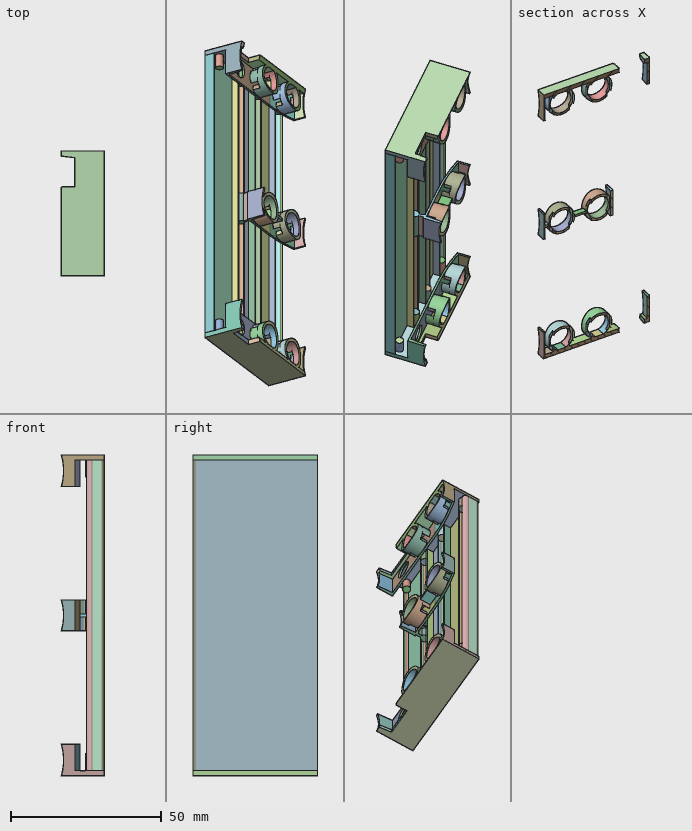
import cadquery as cq
import math

depth = 14.3
width = 41.4
length = 106.5
plus_y = width / 2
minus_y = -width / 2

plate_thickness = 1.7
cap_height = 10.5
bracket_height = 10.2
bracket_plus_y = 6.4
wall_back = 6.3
wall_thickness = 0.7
bend_start_y = -7.0
wall_corner_x = 4.6
flange_thickness = 0.6
arm_tip_thickness = 0.7
arm_root_thickness = 1.3
saddle_depth = 0.7

notch_depth = 4.5
notch_low_y = 8.8
notch_high_y = 19.0
notch_slant = 0.5
notch_chamfer = 0.3

socket_outer_d = 10.2
socket_inner_d = 8.1
socket_ys = (1.0, -13.6)
slot_front = 2.9
slot_inner = 3.1
slot_outer = 4.6
slot_height = 8.2
rib_front = 1.7
rib_thickness = 1.0
rib_reach = 4.9
small_hole_d = 6.2
small_hole_y = 12.7

floor_x = 11.5
groove_ys = (5.5, -5.3, -18.3)
groove_x = 9.4
groove_d = 2.7
groove_r = groove_d / 2
rail_tip_x = 9.2
rail_plus_side = 2.2
rail_minus_side = 2.0
slope_start = 1.7
slope_end_x = 9.8
edge_tip_x = 8.3
edge_side_start_x = 10.2
edge_side_end_x = 13.5
edge_bulge_r = 2.0
edge_back_r = depth - edge_side_end_x
lip_tip_x = 10.6
lip_step_x = 11.1
lip_step_y = 19.9
lip_root_y = 19.1

pin_length = 5.6
snap_neck = 0.9
snap_fillet = 1.0
snap_rib_y = 3.9
lip_pin_y = 18.1
lip_pin_length = 4.6


def block(x_range, y_range, z_range):
    """Box spanning the given X, Y and Z ranges."""
    size = [high - low for low, high in (x_range, y_range, z_range)]
    corner = (x_range[0], y_range[0], z_range[0])
    return cq.Workplane("XY").box(*size, centered=False).translate(corner)


def rod_x(diameter, y, z, x_range):
    """Round bar along X."""
    bar = cq.Workplane("YZ").circle(diameter / 2).extrude(x_range[1] - x_range[0])
    return bar.translate((x_range[0], y, z))


def make_panel():
    slope_rise = math.sqrt(groove_r**2 - (slope_end_x - groove_x) ** 2)
    lip_rise = math.sqrt(groove_r**2 - (groove_x - rail_tip_x) ** 2)
    outline = cq.Workplane("XY").moveTo(depth, plus_y).lineTo(lip_tip_x, plus_y)
    outline = outline.lineTo(lip_step_x, lip_step_y).lineTo(floor_x, lip_root_y)
    for y in groove_ys:
        outline = outline.lineTo(floor_x, y + rail_plus_side).lineTo(rail_tip_x, y + rail_plus_side)
        outline = outline.lineTo(rail_tip_x, y + slope_start).lineTo(slope_end_x, y + slope_rise)
        outline = outline.threePointArc((groove_x + groove_r, y), (rail_tip_x, y - lip_rise))
        if y != groove_ys[-1]:
            outline = outline.lineTo(rail_tip_x, y - rail_minus_side).lineTo(floor_x, y - rail_minus_side)
    outline = outline.lineTo(edge_tip_x, groove_ys[-1] - lip_rise)
    outline = outline.radiusArc((edge_side_start_x, minus_y), -edge_bulge_r)
    outline = outline.lineTo(edge_side_end_x, minus_y)
    outline = outline.radiusArc((depth, minus_y + edge_back_r), -edge_back_r).close()
    panel_length = length - 2 * plate_thickness
    return outline.extrude(panel_length).translate((0, 0, -panel_length / 2))


def wall_block(plus_end, height):
    """Block from the front plane back to the rear face of the wall, standing on Z = 0."""
    outline = (
        cq.Workplane("XY")
        .moveTo(0, plus_end)
        .lineTo(wall_back, plus_end)
        .lineTo(wall_back, bend_start_y)
        .tangentArcPoint((wall_corner_x, minus_y), relative=False)
        .lineTo(0, minus_y)
        .close()
    )
    return outline.extrude(height)


def wall_hollow(plus_end, height):
    """Space in front of the wall, between its two flanges."""
    space = (
        cq.Workplane("XY")
        .moveTo(0, plus_end - arm_tip_thickness)
        .lineTo(wall_back, plus_end - arm_root_thickness)
        .lineTo(wall_back, minus_y + flange_thickness)
        .lineTo(0, minus_y + flange_thickness)
        .close()
        .extrude(height)
    )
    return space.intersect(wall_block(plus_end, height).translate((-wall_thickness, 0, 0)))


def make_socket(y, z):
    """Round socket wall with a slot in each side, next to the wall behind it."""
    socket = rod_x(socket_outer_d, y, z, (0, wall_back))
    socket = socket.cut(rod_x(socket_inner_d, y, z, (0, wall_back)))
    slot_z = (z - slot_height / 2, z + slot_height / 2)
    for slot_y in ((y - slot_outer, y - slot_inner), (y + slot_inner, y + slot_outer)):
        socket = socket.cut(block((slot_front, wall_back), slot_y, slot_z))
    return socket


def make_holder(plus_end, height, fillings):
    """Wall with flanges at both ends; the fillings stay solid in front of it."""
    hollow = wall_hollow(plus_end, height)
    for filling in fillings:
        hollow = hollow.cut(filling)
    return wall_block(plus_end, height).cut(hollow)


def make_saddle(height):
    """Cylinder along Y that hollows the front edges of a body of the given height."""
    radius = (height**2 / 4 + saddle_depth**2) / (2 * saddle_depth)
    roller = cq.Workplane("XZ").circle(radius).extrude(width, both=True)
    return roller.translate((saddle_depth - radius, 0, height / 2))


def make_lower_cap():
    socket_z = cap_height - socket_outer_d / 2
    sockets = [make_socket(y, socket_z) for y in socket_ys]
    cap = make_holder(plus_y, cap_height, sockets)
    cap = cap.union(block((0, depth), (minus_y, plus_y), (0, plate_thickness)))
    cap = cap.cut(rod_x(small_hole_d, small_hole_y, socket_z, (0, wall_back)))
    notch = (
        cq.Workplane("XY")
        .moveTo(0, notch_high_y)
        .lineTo(notch_depth, notch_high_y - notch_slant)
        .lineTo(notch_depth, notch_low_y)
        .lineTo(notch_chamfer, notch_low_y)
        .lineTo(0, notch_low_y - notch_chamfer)
        .close()
        .extrude(plate_thickness)
    )
    cap = cap.cut(notch).cut(make_saddle(cap_height))
    pins = cq.Workplane("XY").pushPoints([(groove_x, y) for y in groove_ys])
    pins = pins.circle(groove_r).extrude(plate_thickness + pin_length)
    lip_pin = cq.Workplane("XY").center(floor_x - groove_r, lip_pin_y).circle(groove_r)
    lip_pin = lip_pin.extrude(plate_thickness + lip_pin_length)
    return cap.union(pins).union(lip_pin).translate((0, 0, -length / 2))


def make_bracket():
    middle = bracket_height / 2
    ribs_z = (middle - rib_thickness / 2, middle + rib_thickness / 2)
    sockets = [make_socket(y, middle) for y in socket_ys]
    high_y, low_y = socket_ys
    between_sockets = (low_y + rib_reach, high_y - rib_reach)
    beside_flange = (minus_y, low_y - rib_reach)
    ribs = [block((rib_front, wall_back), span, ribs_z) for span in (between_sockets, beside_flange)]
    bracket = make_holder(bracket_plus_y, bracket_height, sockets + ribs)
    bracket = bracket.cut(make_saddle(bracket_height))
    snap_y = groove_ys[0]
    snap = cq.Workplane("XY").center(groove_x, snap_y).circle(groove_r).extrude(bracket_height)
    neck_minus_y = snap_y - snap_neck / 2
    neck = (
        cq.Workplane("XY")
        .moveTo(wall_back, snap_y + snap_neck / 2)
        .lineTo(groove_x, snap_y + snap_neck / 2)
        .lineTo(groove_x, neck_minus_y)
        .lineTo(wall_back + snap_fillet, neck_minus_y)
        .radiusArc((wall_back, neck_minus_y - snap_fillet), -snap_fillet)
        .close()
        .extrude(bracket_height)
    )
    neck_rib = block((wall_back, rail_tip_x), (snap_rib_y, snap_y), ribs_z)
    return bracket.union(snap).union(neck).union(neck_rib).translate((0, 0, -middle))


panel = make_panel()
lower_cap = make_lower_cap()
upper_cap = lower_cap.mirror("XY")
bracket = make_bracket()

result = cq.Compound.makeCompound([panel.val(), lower_cap.val(), upper_cap.val(), bracket.val()])